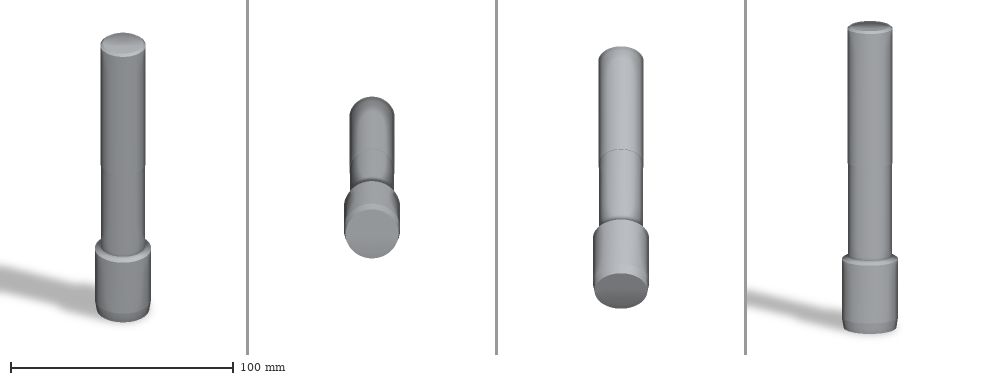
import cadquery as cq

total_length = 140.0

neck_diameter = 20.0
upper_diameter = 20.5
upper_start = 76.7
tip_diameter = 18.0
tip_chamfer_height = 1.0

sleeve_diameter = 25.3
sleeve_length = 33.5
sleeve_foot_diameter = 23.8
sleeve_taper_height = 5.0
sleeve_chamfer_height = 1.5


def make_shaft():
    """Stepped round shaft, chamfered at the top, running the full length."""
    profile = [
        (0, 0),
        (neck_diameter / 2, 0),
        (neck_diameter / 2, upper_start),
        (upper_diameter / 2, upper_start),
        (upper_diameter / 2, total_length - tip_chamfer_height),
        (tip_diameter / 2, total_length),
        (0, total_length),
    ]
    return cq.Workplane("XZ").polyline(profile).close().revolve(360, (0, 0), (0, 1))


def make_sleeve():
    """Sleeve on the neck, tapered at the foot and bevelled down from the neck at the top."""
    bore_radius = neck_diameter / 2
    profile = [
        (bore_radius, 0),
        (sleeve_foot_diameter / 2, 0),
        (sleeve_diameter / 2, sleeve_taper_height),
        (sleeve_diameter / 2, sleeve_length - sleeve_chamfer_height),
        (bore_radius, sleeve_length),
    ]
    return cq.Workplane("XZ").polyline(profile).close().revolve(360, (0, 0), (0, 1))


shaft = make_shaft()
sleeve = make_sleeve()

result = cq.Compound.makeCompound([shaft.val(), sleeve.val()])